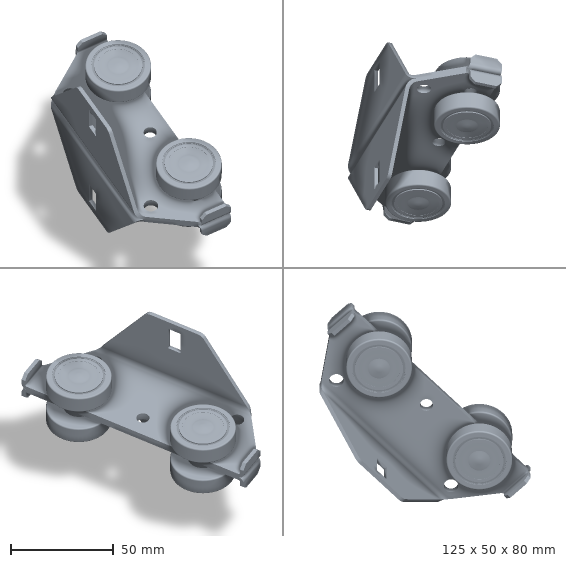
import cadquery as cq
import math

SHEET = 2.0
WHEEL_X = 35.0
WHEEL_Y = 34.0
TAB_LENGTH = 16.2
BACK_Y = WHEEL_Y + TAB_LENGTH / 2
TAB_FRONT_Y = WHEEL_Y - TAB_LENGTH / 2

HALF_LENGTH = 62.5
TAB_HEIGHT = 8.1
TAB_CHAMFER = 2.6
TAB_BEND = 2.8
TAB_ROOT_X = HALF_LENGTH - TAB_BEND
TAB_ROOT_Y = 24.6

FLANGE_HEIGHT = 40.0
FLANGE_BEND = 4.4
FLANGE_ROOT_HALF = 44.8
FLANGE_FOOT_HALF = 41.0
FLANGE_TOP_HALF = 15.4
FLANGE_CORNER = 3.8

SLOT_WIDTH = 7.1
SLOT_HEIGHT = 13.1
SLOT_Z = 28.9

FRONT_HOLE_X = 40.0
FRONT_HOLE_Y = 10.0
FRONT_HOLE_DIAMETER = 7.0
REAR_HOLE_Y = 32.1
REAR_HOLE_SPACING = 45.4
REAR_HOLE_DIAMETER = 6.4

WHEEL_RADIUS = 16.0
WHEEL_BOTTOM = 5.8
WHEEL_TOP = 15.0
WHEEL_FILLET = 0.8
SPACER_RADIUS = 7.5
GROOVE_OUTER = 12.8
GROOVE_INNER = 11.8
GROOVE_DEPTH = 0.6
LEDGE = 0.4
HUB_RECESS_RADIUS = 10.1
HUB_RECESS_DEPTH = 0.1
CAP_RADIUS = 5.4
CAP_HEIGHT = 0.9

BEND_SECTIONS = 5


def quarter_bend(radius, start_edges, end_edges):
    """Quarter ring around the X axis, from -Z (start) to -Y (end), with side edges that taper evenly.

    Each pair of edges gives the low and high X limits at that end of the bend.
    """
    widest = max(abs(x) for x in start_edges + end_edges) + 1.2
    ring = (
        cq.Workplane("YZ", origin=(-widest, 0, 0))
        .circle(radius)
        .circle(radius - SHEET)
        .extrude(2 * widest)
    )
    near = (radius - SHEET) / 2
    far = radius * 1.5
    wires = []
    for step in range(BEND_SECTIONS):
        share = step / (BEND_SECTIONS - 1)
        angle = share * math.pi / 2
        low, high = [a + share * (b - a) for a, b in zip(start_edges, end_edges)]
        corners = [(low, near), (high, near), (high, far), (low, far)]
        points = [cq.Vector(x, -r * math.sin(angle), -r * math.cos(angle)) for x, r in corners]
        wires.append(cq.Wire.makePolygon(points, close=True))
    taper = cq.Workplane(obj=cq.Solid.makeLoft(wires))
    return ring.intersect(taper)


def flat_sheet():
    right_edge = [
        (TAB_ROOT_X, BACK_Y),
        (TAB_ROOT_X, TAB_ROOT_Y),
        (FLANGE_ROOT_HALF, FLANGE_BEND),
    ]
    left_edge = [(-x, y) for x, y in reversed(right_edge)]
    return cq.Workplane("XY").polyline(right_edge + left_edge).close().extrude(SHEET)


def front_flange():
    bend = quarter_bend(
        FLANGE_BEND,
        (-FLANGE_ROOT_HALF, FLANGE_ROOT_HALF),
        (-FLANGE_FOOT_HALF, FLANGE_FOOT_HALF),
    ).translate((0, FLANGE_BEND, FLANGE_BEND))
    plate = (
        cq.Workplane("XZ")
        .moveTo(-FLANGE_FOOT_HALF, FLANGE_BEND)
        .lineTo(FLANGE_FOOT_HALF, FLANGE_BEND)
        .lineTo(FLANGE_TOP_HALF, FLANGE_HEIGHT)
        .lineTo(-FLANGE_TOP_HALF, FLANGE_HEIGHT)
        .close()
        .extrude(-SHEET)
        .edges("|Y and >Z")
        .fillet(FLANGE_CORNER)
    )
    slot = cq.Workplane("XY").box(SLOT_WIDTH, 3 * SHEET, SLOT_HEIGHT).translate((0, SHEET, SLOT_Z))
    return bend.union(plate.cut(slot))


def right_tab():
    bend = (
        quarter_bend(TAB_BEND, (TAB_ROOT_Y, BACK_Y), (TAB_FRONT_Y, BACK_Y))
        .rotate((0, 0, 0), (0, 0, 1), 90)
        .translate((TAB_ROOT_X, 0, TAB_BEND))
    )
    plate = (
        cq.Workplane("XY")
        .box(SHEET, TAB_LENGTH, TAB_HEIGHT - TAB_BEND, centered=(False, True, False))
        .edges("|X and >Z")
        .chamfer(TAB_CHAMFER)
        .translate((HALF_LENGTH - SHEET, WHEEL_Y, TAB_BEND))
    )
    return bend.union(plate)


def wheel():
    """Upper wheel on its spacer, turned around the Z axis."""
    groove_floor = WHEEL_TOP - GROOVE_DEPTH
    hub_face = WHEEL_TOP - HUB_RECESS_DEPTH
    body = (
        cq.Workplane("XY", origin=(0, 0, WHEEL_BOTTOM))
        .circle(WHEEL_RADIUS)
        .extrude(WHEEL_TOP - WHEEL_BOTTOM)
        .edges()
        .fillet(WHEEL_FILLET)
    )
    groove = (
        cq.Workplane("XZ")
        .moveTo(GROOVE_INNER, groove_floor)
        .lineTo(GROOVE_OUTER, groove_floor)
        .lineTo(GROOVE_OUTER, WHEEL_TOP - LEDGE)
        .lineTo(GROOVE_OUTER + LEDGE, WHEEL_TOP - LEDGE)
        .lineTo(GROOVE_OUTER + LEDGE, WHEEL_TOP)
        .lineTo(GROOVE_INNER, WHEEL_TOP)
        .close()
        .revolve(360, (0, 0), (0, 1))
    )
    hub_recess = (
        cq.Workplane("XY", origin=(0, 0, hub_face))
        .circle(HUB_RECESS_RADIUS)
        .extrude(HUB_RECESS_DEPTH)
    )
    spacer = (
        cq.Workplane("XY", origin=(0, 0, SHEET))
        .circle(SPACER_RADIUS)
        .extrude(WHEEL_BOTTOM - SHEET)
    )
    cap = cq.Workplane(
        obj=cq.Solid.makeCone(CAP_RADIUS, 0, CAP_HEIGHT, pnt=cq.Vector(0, 0, hub_face))
    )
    return body.cut(groove).cut(hub_recess).union(spacer).union(cap)


def through_holes():
    front = (
        cq.Workplane("XY")
        .pushPoints([(-FRONT_HOLE_X, FRONT_HOLE_Y), (FRONT_HOLE_X, FRONT_HOLE_Y)])
        .circle(FRONT_HOLE_DIAMETER / 2)
        .extrude(SHEET)
    )
    rear = (
        cq.Workplane("XY")
        .pushPoints([(step * REAR_HOLE_SPACING, REAR_HOLE_Y) for step in (-1, 0, 1)])
        .circle(REAR_HOLE_DIAMETER / 2)
        .extrude(SHEET)
    )
    return front.union(rear)


tab = right_tab()
upper = flat_sheet().union(front_flange()).union(tab).union(tab.mirror("YZ"))
upper = upper.cut(through_holes())
for side in (-1, 1):
    upper = upper.union(wheel().translate((side * WHEEL_X, WHEEL_Y, 0)))

result = upper.union(upper.mirror("XY"))